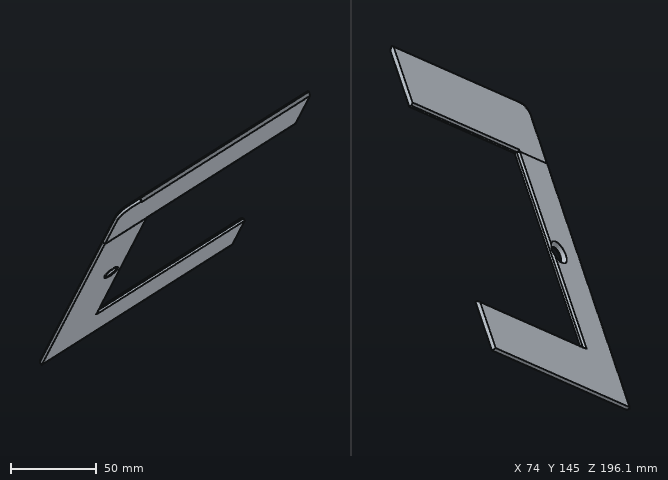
import cadquery as cq

tilt = 20.0
thickness = 3.0
plate_height = 208.0
plate_depth = 145.0
chamfer = 1.0
inner_chamfer = 1.4
corner_radius = 8.0

upper_arm_width = 40.8
lower_arm_width = 33.1
web_width = 32.0
joint_height = plate_height - upper_arm_width

bevel = thickness - chamfer
bevel_start = 16.5

hole_diameter = 10.0
countersink_diameter = 14.7
countersink_angle = 90.0
hole_from_edge = 24.1
hole_height = 100.0


def block(y_size, z_size):
    """Plate-thick block with one corner at the origin and its front face on X = 0."""
    return cq.Workplane("XY").box(thickness, y_size, z_size, centered=False)


def tilted(body):
    """Lean a body toward +X about the lower front edge."""
    return body.rotate((0, 0, 0), (0, 1, 0), tilt)


def chamfer_front_edges(body, size, *points):
    """Chamfer the front-face edges nearest to the given (y, z) points."""
    nearest = cq.selectors.NearestToPointSelector
    edges = [body.edges(nearest((0, y, z))).val() for y, z in points]
    return body.newObject(edges).chamfer(size)


def inner_edge_cutter():
    """Triangular prism that chamfers the upper arm's lower edge, from the web to the free end."""
    return (
        cq.Workplane("XZ", origin=(0, web_width - inner_chamfer, joint_height))
        .polyline([(0, 0), (inner_chamfer, 0), (0, inner_chamfer)]).close()
        .extrude(web_width - inner_chamfer - plate_depth)
    )


def back_bevel_cutter():
    """Triangular prism that bevels the back of the plate's upper edge."""
    return (
        cq.Workplane("XZ", origin=(thickness, bevel_start, plate_height))
        .polyline([(0, 0), (-bevel, 0), (0, -bevel)]).close()
        .extrude(bevel_start - plate_depth)
    )


def make_upper_arm():
    arm = block(plate_depth, upper_arm_width).translate((0, 0, joint_height))
    arm = arm.edges("|X and <Y and >Z").fillet(corner_radius)
    arm = chamfer_front_edges(arm, chamfer, (plate_depth / 2, plate_height))
    return arm.cut(inner_edge_cutter()).cut(back_bevel_cutter())


def make_lower_frame():
    frame = block(plate_depth, lower_arm_width).union(block(web_width, joint_height))
    outer_edge = (0, joint_height / 2)
    web_edge = (web_width, (joint_height + lower_arm_width) / 2)
    arm_edge = ((web_width + plate_depth) / 2, lower_arm_width)
    frame = chamfer_front_edges(frame, chamfer, outer_edge)
    frame = chamfer_front_edges(frame, inner_chamfer, web_edge, arm_edge)
    return (
        frame.faces("<X").workplane(origin=(0, hole_from_edge, hole_height))
        .cskHole(hole_diameter, countersink_diameter, countersink_angle)
    )


upper_arm = tilted(make_upper_arm())
lower_frame = tilted(make_lower_frame())

result = cq.Compound.makeCompound([upper_arm.val(), lower_frame.val()])